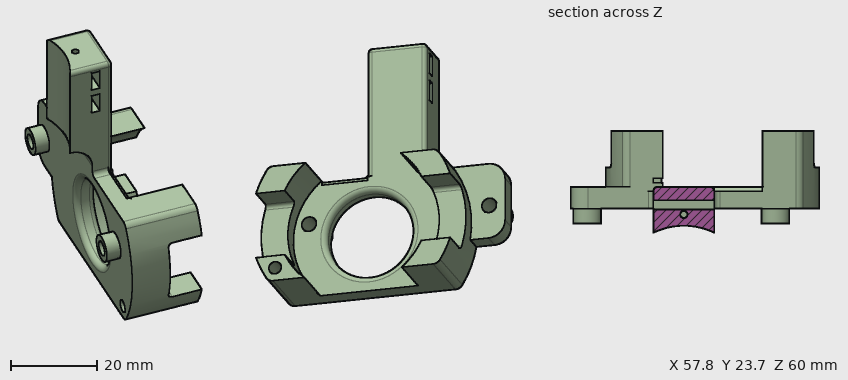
import cadquery as cq
import math


body_radius = 24.85
body_top = 14.3
body_bottom = -14.05
body_depth = 18.0
body_corner_radius = 2.0

plate_thickness = 5.05
recess_radius = 18.35
notch_floor = 9.55
notch_half_height = 7.9
notch_corner_radius = 1.0

bore_radius = 20.7 / 2
bore_lip_radius = 1.45

ear_left = -32.95
ear_bottom = -4.1
ear_corner_radius = 4.0

boss_positions = [(-29.1, 3.95), (14.6, 3.95)]
boss_diameter = 6.5
boss_hole_diameter = 3.55
boss_height = 3.5
dowel_diameter = 3.0
dowel_x = 18.9
dowel_z = -10.9

handle_center_x = -6.65
handle_width = 14.15
handle_left = handle_center_x - handle_width / 2
handle_right = handle_center_x + handle_width / 2
handle_top = body_bottom + 60.0
handle_front = -5.65
handle_edge_radius = 1.0
handle_root_radius = 1.2
grip_sag = 1.6
cove_radius = -handle_front
cove_center_z = 16.8

window_depth = 2.05
window_height = 4.9
window_center_y = 0.85
window_pitch = 6.65
upper_window_z = 41.8
top_hole_diameter = 1.6
top_hole_y = -1.4
lower_window_bottom = upper_window_z - window_pitch - window_height / 2

slot_front = 5.95
slot_width = 1.1
slot_depth = 0.3


def box(x0, x1, y0, y1, z0, z1):
    """Axis-aligned block between two opposite corners."""
    return cq.Workplane("XY").box(x1 - x0, y1 - y0, z1 - z0, centered=False).translate((x0, y0, z0))


def rod(x, z, diameter, y0, y1):
    """Cylinder parallel to Y."""
    return cq.Workplane("XZ", origin=(x, y0, z)).circle(diameter / 2).extrude(y0 - y1)


def make_body():
    disc = rod(0, 0, 2 * body_radius, 0, body_depth)
    flats = box(-body_radius, body_radius, 0, body_depth, body_bottom, body_top)
    body = disc.intersect(flats).edges("|Y").fillet(body_corner_radius)
    body = body.cut(rod(0, 0, 2 * recess_radius, plate_thickness, body_depth))
    notch = box(-body_radius, body_radius, notch_floor, body_depth + notch_corner_radius,
                -notch_half_height, notch_half_height)
    return body.cut(notch.edges("|X and <Y").fillet(notch_corner_radius))


def make_ear():
    ear = box(ear_left, 0, 0, plate_thickness, ear_bottom, body_top)
    return ear.edges("|Y and <X").fillet(ear_corner_radius)


def make_handle():
    handle = box(handle_left, handle_right, handle_front, plate_thickness, 0, handle_top)
    handle = handle.edges("(|Z and >Y) or (|Y and >Z) or (|X and >Y and >Z)").fillet(handle_edge_radius)

    grip_radius = ((handle_width / 2) ** 2 + grip_sag ** 2) / (2 * grip_sag)
    grip_center_y = handle_front + grip_sag - grip_radius
    grip = cq.Workplane("XY").center(handle_center_x, grip_center_y).circle(grip_radius).extrude(handle_top)
    handle = handle.cut(grip)

    cove = (
        cq.Workplane("YZ", origin=(handle_left, 0, 0))
        .center(handle_front, cove_center_z)
        .circle(cove_radius)
        .extrude(handle_width)
    )
    handle = handle.cut(cove).cut(box(handle_left, handle_right, handle_front, 0, 0, cove_center_z))

    for index in range(2):
        window = cq.Workplane("XY").box(2 * handle_width, window_depth, window_height)
        window_z = upper_window_z - index * window_pitch
        handle = handle.cut(window.translate((handle_center_x, window_center_y, window_z)))

    hole = (
        cq.Workplane("XY", origin=(handle_center_x, top_hole_y, lower_window_bottom))
        .circle(top_hole_diameter / 2)
        .extrude(handle_top - lower_window_bottom)
    )
    return handle.cut(hole)


def make_root_fillet(side_x, direction):
    """Concave fillet between the plate top and one side of the handle."""
    inner_x = side_x - direction * handle_edge_radius
    outer_x = side_x + direction * handle_root_radius
    diagonal = handle_root_radius * (1 - math.sqrt(0.5))
    return (
        cq.Workplane("XZ")
        .moveTo(inner_x, body_top)
        .lineTo(outer_x, body_top)
        .threePointArc((side_x + direction * diagonal, body_top + diagonal),
                       (side_x, body_top + handle_root_radius))
        .lineTo(inner_x, body_top + handle_root_radius)
        .close()
        .extrude(-(plate_thickness - handle_edge_radius))
    )


def make_web_edge_cut():
    """Bevel on the top back edge of the plate between the handle and the right wall."""
    wall_x = math.sqrt(recess_radius ** 2 - body_top ** 2)
    return (
        cq.Workplane("YZ", origin=(handle_right, 0, 0))
        .moveTo(plate_thickness - handle_edge_radius, body_top)
        .lineTo(plate_thickness, body_top)
        .lineTo(plate_thickness, body_top - handle_edge_radius)
        .close()
        .extrude(wall_x - handle_right)
    )


def make_bore_cut():
    """Revolved bore with both rims rounded outwards."""
    lip_radius = bore_radius + bore_lip_radius
    diagonal = bore_lip_radius * (1 - math.sqrt(0.5))
    return (
        cq.Workplane("XY")
        .moveTo(0, 0)
        .lineTo(lip_radius, 0)
        .threePointArc((bore_radius + diagonal, diagonal), (bore_radius, bore_lip_radius))
        .lineTo(bore_radius, plate_thickness - bore_lip_radius)
        .threePointArc((bore_radius + diagonal, plate_thickness - diagonal), (lip_radius, plate_thickness))
        .lineTo(0, plate_thickness)
        .close()
        .revolve(360, (0, 0, 0), (0, 1, 0))
    )


result = make_body().union(make_ear()).cut(make_web_edge_cut()).union(make_handle())
result = result.union(make_root_fillet(handle_left, -1)).union(make_root_fillet(handle_right, 1))
result = result.cut(make_bore_cut())

for boss_x, boss_z in boss_positions:
    result = result.union(rod(boss_x, boss_z, boss_diameter, -boss_height, plate_thickness))
    result = result.cut(rod(boss_x, boss_z, boss_hole_diameter, -boss_height, body_depth))

result = result.cut(rod(dowel_x, dowel_z, dowel_diameter, 0, body_depth))

slot_end_x = -math.sqrt(recess_radius ** 2 - body_top ** 2)
result = result.cut(
    box(handle_left, slot_end_x, slot_front, slot_front + slot_width, body_top - slot_depth, body_top)
)